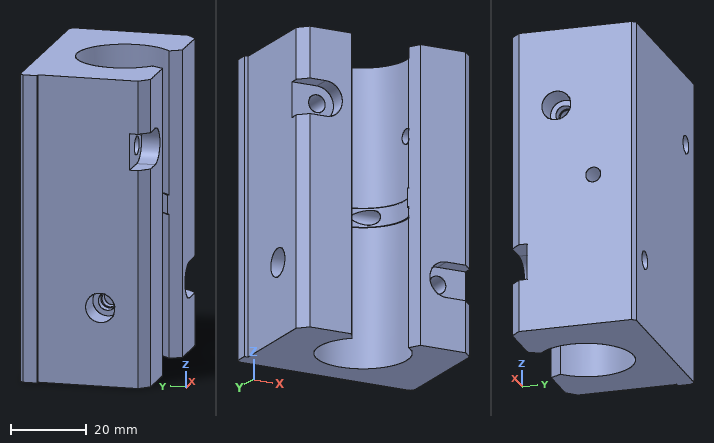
import cadquery as cq
import math

width = 53.0
depth = 35.0
height = 84.0

ledge_width = 1.0
ledge_depth = 4.95
back_chamfer = 1.0
front_chamfer = 2.7

bore_y = 13.1
bore_radius = 13.0
rib_radius = 12.6
rib_height = 5.3
mouth_half_width = 10.3
mouth_half_angle = 30.0

mount_x = 18.1
mount_z = 22.5
mount_hole_diameter = 4.95
seat_width = 9.9
seat_depth = 5.0

cross_hole_z = 20.6
cross_counterbore_diameter = 8.0
cross_counterbore_depth = 7.6
cross_middle_diameter = 4.95
cross_middle_depth = 10.1
cross_inner_diameter = 4.3

oil_hole_diameter = 4.1
oil_hole_y = bore_y + 10.25

right_x = width / 2
left_x = -right_x
side_x = left_x + ledge_width


def make_block():
    outline = [
        (side_x + front_chamfer, 0),
        (right_x - front_chamfer, 0),
        (right_x, front_chamfer),
        (right_x, depth - back_chamfer),
        (right_x - back_chamfer, depth),
        (left_x + back_chamfer, depth),
        (left_x, depth - back_chamfer),
        (left_x, depth - ledge_depth),
        (side_x, depth - ledge_depth),
        (side_x, front_chamfer),
    ]
    return cq.Workplane("XY").polyline(outline).close().extrude(height / 2, both=True)


def make_bore():
    """Bore with a raised rib at mid height, joined to the tapered mouth."""
    bore = cq.Workplane("XY").center(0, bore_y).circle(bore_radius).extrude(height / 2, both=True)
    rib = (
        cq.Workplane("XY")
        .center(0, bore_y)
        .circle(bore_radius)
        .circle(rib_radius)
        .extrude(rib_height / 2, both=True)
    )
    mouth_inner_half_width = mouth_half_width - bore_y * math.tan(math.radians(mouth_half_angle))
    mouth = (
        cq.Workplane("XY")
        .polyline([
            (-mouth_half_width, 0),
            (mouth_half_width, 0),
            (mouth_inner_half_width, bore_y),
            (-mouth_inner_half_width, bore_y),
        ])
        .close()
        .extrude(height / 2, both=True)
    )
    return bore.cut(rib).union(mouth)


def make_mount_cut(side):
    """Through hole and seat open to one side: -1 is the upper left, 1 the lower right."""
    x = side * mount_x
    z = -side * mount_z
    seat_run = width / 2
    front = cq.Workplane("XZ", origin=(x, 0, z))
    hole = front.circle(mount_hole_diameter / 2).extrude(-depth)
    seat_end = front.circle(seat_width / 2).extrude(-seat_depth)
    seat_side = front.center(side * seat_run / 2, 0).rect(seat_run, seat_width).extrude(-seat_depth)
    return hole.union(seat_end).union(seat_side)


def make_cross_hole(side):
    """Stepped hole from one side face to the bore: -1 is the lower left, 1 the upper right."""
    face_x = side_x if side < 0 else right_x
    steps = [
        (cross_counterbore_diameter, cross_counterbore_depth),
        (cross_middle_diameter, cross_middle_depth),
        (cross_inner_diameter, abs(face_x)),
    ]
    face = cq.Workplane("YZ", origin=(face_x, bore_y, side * cross_hole_z))
    cut = cq.Workplane("XY")
    for diameter, step_depth in steps:
        cut = cut.add(face.circle(diameter / 2).extrude(-side * step_depth))
    return cut.combine()


def make_oil_hole():
    return cq.Workplane("YZ", origin=(0, oil_hole_y, 0)).circle(oil_hole_diameter / 2).extrude(right_x)


result = make_block().cut(make_bore()).cut(make_oil_hole())
for side in (-1, 1):
    result = result.cut(make_mount_cut(side)).cut(make_cross_hole(side))